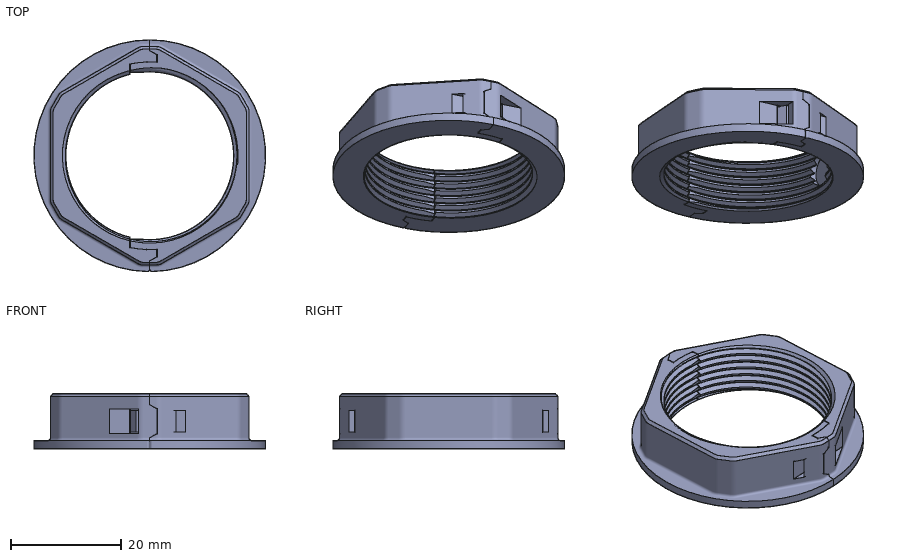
import cadquery as cq
import math

height = 10.0
mid_z = height / 2
flange_radius = 21.0
flange_thickness = 1.5

across_flats = 36.0
across_corners = 39.6
corner_fillet = 2.0
top_chamfer = 0.5
base_fillet = 0.5

pitch = 1.5
major_radius = 16.0
thread_depth = 0.541 * pitch
minor_radius = major_radius - thread_depth
root_width = pitch / 8
mouth_width = pitch * 3 / 4
top_lead_in_depth = 0.64
bottom_lead_in_depth = 0.3
flank_angle = math.radians(30)
groove_run_out = 1.5 * pitch
groove_overrun = 0.05

recess_radius = 3.0
recess_floor_x = 16.1

tongue_radius = 17.0
outer_tongue_tip_x = 1.27
inner_tongue_tip_x = -3.5
tip_gap = 0.1
inner_tongue_relief_y = 15.1
tongue_root_y = 19.05
tongue_root_half_height = 3.0
tongue_slope = math.tan(math.radians(30))
flange_corner_radius = 0.5

hook_height = 3.9
hook_outer_y = 18.05
hook_back_x = -2.03
hook_flat_length = 0.43
window_height = 4.4
window_floor_y = 16.6
tunnel_floor_y = 17.03

clear = 2 * flange_radius
tolerance = 0.01


def hexagon_prism(width, turn):
    prism = cq.Workplane("XY").polygon(6, width / math.cos(math.pi / 6)).extrude(height)
    return prism.rotate((0, 0, 0), (0, 0, 1), turn)


def nut_blank():
    """Flanged hexagon with cut-off corners, still solid and undivided."""
    hexagon = hexagon_prism(across_flats, 30).intersect(hexagon_prism(across_corners, 0))
    hexagon = hexagon.edges("|Z").fillet(corner_fillet)
    hexagon = hexagon.faces(">Z").chamfer(top_chamfer)
    flange = cq.Workplane("XY").circle(flange_radius).extrude(flange_thickness)
    body = flange.union(hexagon)

    def at_hexagon_foot(edge):
        on_flange_top = abs(edge.Center().z - flange_thickness) < tolerance
        return on_flange_top and edge.Length() < across_flats

    return body.edges().filter(at_hexagon_foot).fillet(base_fillet)


def thread_groove():
    """Helical groove, wide at the minor radius and narrow at the root."""
    inner_radius = minor_radius - groove_overrun
    overrun_width = mouth_width + 2 * groove_overrun * math.tan(flank_angle)
    helix = cq.Wire.makeHelix(pitch, height + 2 * groove_run_out, inner_radius)
    profile = (
        cq.Workplane("XZ")
        .moveTo(inner_radius, -overrun_width / 2)
        .lineTo(major_radius, -root_width / 2)
        .lineTo(major_radius, root_width / 2)
        .lineTo(inner_radius, overrun_width / 2)
        .close()
    )
    groove = profile.sweep(cq.Workplane(obj=helix), isFrenet=True)
    return groove.translate((0, 0, -groove_run_out))


def lead_in(end_z, depth_step):
    """45 degree countersink at one end of the bore; depth_step points from that end into the bore."""
    mouth = cq.Workplane("XY", origin=(0, 0, end_z)).circle(minor_radius + abs(depth_step))
    return mouth.workplane(offset=depth_step).circle(minor_radius).loft()


def threaded_nut():
    """Whole nut with its thread, bore lead-ins, bore recess and flange notch, before it is split."""
    bore = cq.Workplane("XY").circle(minor_radius).extrude(height)
    recess = cq.Workplane("YZ").center(0, mid_z).circle(recess_radius).extrude(recess_floor_x)
    nut = nut_blank().cut(bore).cut(thread_groove())
    nut = nut.cut(lead_in(height, -top_lead_in_depth)).cut(lead_in(0, bottom_lead_in_depth))
    return nut.cut(recess).cut(flange_notch())


def left_zone(outer_tip_x, inner_tip_x):
    """Space taken by the left half: everything at -X, plus a tongue at each end of the split."""
    shoulder_y = tongue_root_y - outer_tip_x * tongue_slope
    outer_tip_y = math.sqrt(tongue_radius**2 - outer_tip_x**2)
    inner_tip_y = math.sqrt(tongue_radius**2 - inner_tip_x**2)
    plan = (
        cq.Workplane("XY")
        .moveTo(-clear, -clear)
        .lineTo(0, -clear)
        .lineTo(0, -tongue_root_y)
        .lineTo(outer_tip_x, -shoulder_y)
        .lineTo(outer_tip_x, -outer_tip_y)
        .threePointArc((0, -tongue_radius), (inner_tip_x, -inner_tip_y))
        .lineTo(inner_tip_x, inner_tip_y)
        .threePointArc((0, tongue_radius), (outer_tip_x, outer_tip_y))
        .lineTo(outer_tip_x, shoulder_y)
        .lineTo(0, tongue_root_y)
        .lineTo(0, clear)
        .lineTo(-clear, clear)
        .close()
        .extrude(height)
    )
    tip_half_height = tongue_root_half_height - outer_tip_x * tongue_slope
    tongues = (
        cq.Workplane("XZ")
        .moveTo(0, mid_z - tongue_root_half_height)
        .lineTo(outer_tip_x, mid_z - tip_half_height)
        .lineTo(outer_tip_x, mid_z + tip_half_height)
        .lineTo(0, mid_z + tongue_root_half_height)
        .close()
        .extrude(clear, both=True)
        .cut(cq.Workplane("XY").box(clear, 2 * shoulder_y, clear))
    )
    return plan.union(tongues)


def snap_hook(side):
    """Wedge with a flat crest, standing on the inner tongue."""
    crest_start_x = hook_back_x - hook_flat_length
    profile = [
        (inner_tongue_tip_x, window_floor_y),
        (crest_start_x, hook_outer_y),
        (hook_back_x, hook_outer_y),
        (hook_back_x, window_floor_y),
    ]
    hook = cq.Workplane("XY", origin=(0, 0, mid_z - hook_height / 2))
    return hook.polyline([(x, side * y) for x, y in profile]).close().extrude(hook_height)


def side_box(side, x_range, y_range, box_height):
    """Box centred on mid height, at the +Y end of the split for side = 1 and at the -Y end for side = -1."""
    x0, x1 = x_range
    y0, y1 = sorted(side * y for y in y_range)
    box = cq.Workplane("XY").box(x1 - x0, y1 - y0, box_height)
    return box.translate(((x0 + x1) / 2, (y0 + y1) / 2, mid_z))


def flange_notch():
    """Notch left by rounding both flange corners beside the split at -Y."""
    r = flange_corner_radius
    notch = cq.Workplane("XY").center(0, -flange_radius).rect(2 * r, 2 * r).extrude(flange_thickness)
    for x in (-r, r):
        corner = cq.Workplane("XY").center(x, r - flange_radius).circle(r).extrude(flange_thickness)
        notch = notch.cut(corner)
    return notch


def left_half(nut):
    """Half at -X, with the outer tongues and a catch window for each snap hook."""
    half = nut.intersect(left_zone(outer_tongue_tip_x, inner_tongue_tip_x - tip_gap))
    window_x = (-flange_radius, hook_back_x)
    window_y = (window_floor_y, flange_radius)
    for side in (-1, 1):
        half = half.cut(side_box(side, window_x, window_y, window_height))
    return half


def right_half(nut):
    """Half at +X, with the inner tongues, their snap hooks and a tunnel in line with each hook."""
    half = nut.cut(left_zone(outer_tongue_tip_x + tip_gap, inner_tongue_tip_x))
    relief_x = (inner_tongue_tip_x, 0)
    relief_y = (0, inner_tongue_relief_y)
    tunnel_x = (outer_tongue_tip_x, flange_radius)
    tunnel_y = (tunnel_floor_y, hook_outer_y)
    for side in (-1, 1):
        half = half.cut(side_box(side, relief_x, relief_y, height))
        half = half.cut(side_box(side, tunnel_x, tunnel_y, hook_height))
        half = half.union(snap_hook(side))
    return half


whole_nut = threaded_nut()
left = left_half(whole_nut)
right = right_half(whole_nut)
result = cq.Compound.makeCompound([*left.solids().vals(), *right.solids().vals()])